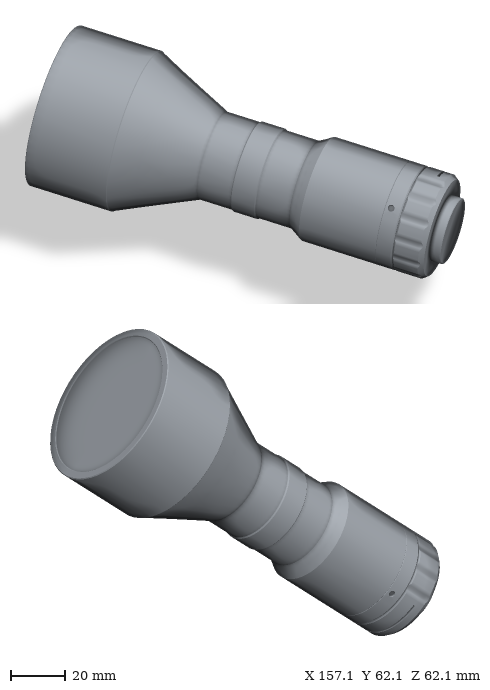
import cadquery as cq
import math


cup_radius = 31.03
cup_end = 32.4
cup_chamfer = 0.3
window_radius = 27.8
window_depth = 0.3
cone_end = 61.6
cone_end_radius = 17.5

neck_start = 62.5
neck_radius = 17.0
collar_start = 75.9
collar_end = 85.8
collar_radius = 17.5
collar_chamfer = collar_radius - neck_radius

shoulder_start = 99.0
shoulder_end = 104.2
barrel_radius = 20.1
ring_start = 134.3
ring_groove_depth = 0.2
set_screw_count = 3
set_screw_x = 136.7
set_screw_diameter = 2.5
set_screw_depth = 1.3
ring_end = 140.8

clamp_start = 141.1
clamp_end = 152.9
joint_chamfer = 0.5
spigot_radius = 19.3
rear_chamfer_length = 1.9
rear_chamfer_height = 1.4
mount_end = 157.1
mount_radius = 12.7
mount_chamfer = 0.24

grip_count = 7
grip_pitch_angle = 25.0
grip_middle_angle = 150.0
grip_depth = 0.6
grip_radius = 2.5
grip_shoulder_radius = 2.5
slit_x = 147.7
slit_width = 1.0
slit_floor_radius = 18.7
slit_past_axis = 0.8


def revolve_about_x(profile):
    """Turn a closed half profile, drawn in the XZ plane, around the X axis."""
    return profile.close().revolve(360, (0, 0, 0), (1, 0, 0))


def front_profile():
    """Half profile of the lens body, from the recessed window to the spigot that meets the clamp."""
    return (
        cq.Workplane("XZ")
        .moveTo(window_depth, 0)
        .lineTo(window_depth, window_radius)
        .lineTo(0, window_radius + window_depth)
        .lineTo(0, cup_radius - cup_chamfer)
        .lineTo(cup_chamfer, cup_radius)
        .lineTo(cup_end - cup_chamfer, cup_radius)
        .lineTo(cup_end, cup_radius - cup_chamfer)
        .lineTo(cone_end, cone_end_radius)
        .lineTo(neck_start, neck_radius)
        .lineTo(collar_start, neck_radius)
        .lineTo(collar_start + collar_chamfer, collar_radius)
        .lineTo(collar_end - collar_chamfer, collar_radius)
        .lineTo(collar_end, neck_radius)
        .lineTo(shoulder_start, neck_radius)
        .lineTo(shoulder_end, barrel_radius)
        .lineTo(ring_start - ring_groove_depth, barrel_radius)
        .lineTo(ring_start, barrel_radius - ring_groove_depth)
        .lineTo(ring_start + ring_groove_depth, barrel_radius)
        .lineTo(ring_end - joint_chamfer, barrel_radius)
        .lineTo(ring_end, barrel_radius - joint_chamfer)
        .lineTo(ring_end, spigot_radius)
        .lineTo(clamp_start, spigot_radius)
        .lineTo(clamp_start, 0)
    )


def set_screw_hole(angle):
    """Radial cutter for one blind set screw hole in the ring."""
    floor_radius = barrel_radius - set_screw_depth
    return (
        cq.Workplane("XZ", origin=(0, floor_radius, 0))
        .center(set_screw_x, 0)
        .circle(set_screw_diameter / 2)
        .extrude(-2 * set_screw_depth)
        .rotate((0, 0, 0), (1, 0, 0), angle)
    )


def build_lens_body():
    """Front cup, cone, neck and barrel."""
    body = revolve_about_x(front_profile())
    for index in range(set_screw_count):
        body = body.cut(set_screw_hole(index * 360 / set_screw_count))
    return body


def clamp_profile():
    """Half profile of the clamp drum, without the mount."""
    return (
        cq.Workplane("XZ")
        .moveTo(clamp_start, 0)
        .lineTo(clamp_start, barrel_radius - joint_chamfer)
        .lineTo(clamp_start + joint_chamfer, barrel_radius)
        .lineTo(clamp_end - rear_chamfer_length, barrel_radius)
        .lineTo(clamp_end, barrel_radius - rear_chamfer_height)
        .lineTo(clamp_end, 0)
    )


def grip_groove(angle):
    """Cutter along X for one hollow whose flanks round over into the drum."""
    hollow_centre = barrel_radius - grip_depth + grip_radius
    shoulder_centre = barrel_radius - grip_shoulder_radius
    centre_distance = grip_radius + grip_shoulder_radius
    spread = math.acos(
        (hollow_centre**2 + shoulder_centre**2 - centre_distance**2)
        / (2 * hollow_centre * shoulder_centre)
    )
    sin_spread = math.sin(spread)
    cos_spread = math.cos(spread)
    centre_y = shoulder_centre * cos_spread
    centre_z = shoulder_centre * sin_spread
    start_y = barrel_radius * cos_spread
    start_z = barrel_radius * sin_spread
    along = grip_shoulder_radius / centre_distance
    meet_y = centre_y + along * (hollow_centre - centre_y)
    meet_z = centre_z * (1 - along)
    floor_y = barrel_radius - grip_depth
    return (
        cq.Workplane("YZ", origin=(clamp_start, 0, 0))
        .moveTo(start_y, -start_z)
        .radiusArc((meet_y, -meet_z), -grip_shoulder_radius)
        .threePointArc((floor_y, 0), (meet_y, meet_z))
        .radiusArc((start_y, start_z), -grip_shoulder_radius)
        .lineTo(barrel_radius + grip_depth, start_z)
        .lineTo(barrel_radius + grip_depth, -start_z)
        .close()
        .extrude(clamp_end - clamp_start)
        .rotate((0, 0, 0), (1, 0, 0), angle)
    )


def clamp_slit():
    """Cutter for the slit across X, with a round floor, over the side opposite the grip."""
    span = 2 * barrel_radius
    open_side = (
        cq.Workplane("XY")
        .box(slit_width, span, span, centered=(True, False, True))
        .translate((slit_x, -slit_past_axis, 0))
        .rotate((0, 0, 0), (1, 0, 0), grip_middle_angle + 180)
    )
    core = (
        cq.Workplane("YZ", origin=(clamp_start, 0, 0))
        .circle(slit_floor_radius)
        .extrude(clamp_end - clamp_start)
    )
    return open_side.cut(core)


def build_camera_clamp():
    """Slit clamp drum with grip grooves and the camera mount behind it."""
    body = revolve_about_x(clamp_profile())
    for index in range(grip_count):
        steps_from_middle = index - (grip_count - 1) / 2
        body = body.cut(grip_groove(grip_middle_angle + steps_from_middle * grip_pitch_angle))
    mount = (
        cq.Workplane("YZ", origin=(clamp_end, 0, 0))
        .circle(mount_radius)
        .extrude(mount_end - clamp_end)
        .faces(">X")
        .chamfer(mount_chamfer)
    )
    return body.union(mount).cut(clamp_slit())


lens_body = build_lens_body()
camera_clamp = build_camera_clamp()

result = cq.Compound.makeCompound([lens_body.val(), camera_clamp.val()])